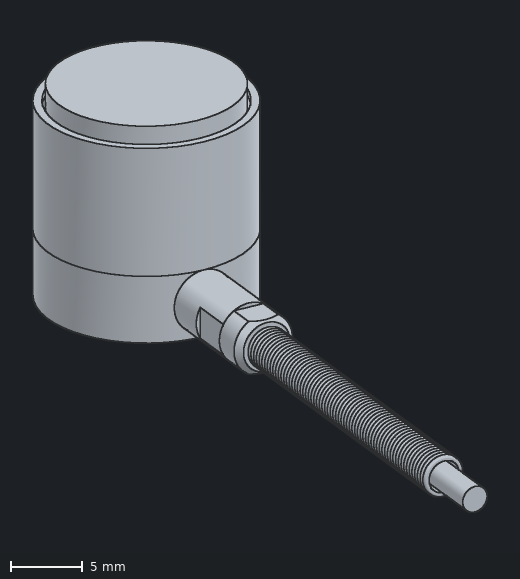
import cadquery as cq

overall_length = 53.65
housing_radius = 15.9 / 2
base_height = 5.15
shoulder_z = 15.0
button_radius = 14.1 / 2
button_edge_height = 1.3
button_edge_z = shoulder_z + button_edge_height
apex_z = 16.55
groove_radius = 14.6 / 2
groove_depth = 0.55

outlet_radius = 4.7 / 2
across_flats = 4.1
fitting_length = 6.3
fitting_flat_length = 3.2
nut_length = 2.5
nut_chamfer = 0.5

outlet_z = base_height - outlet_radius
fitting_start_x = housing_radius
nut_start_x = fitting_start_x + fitting_length
fitting_flat_start_x = nut_start_x - fitting_flat_length
nut_end_x = nut_start_x + nut_length

cable_radius = 2.0 / 2
cable_socket_depth = 1.6
cable_start_x = housing_radius - cable_socket_depth
cable_end_x = overall_length - housing_radius

sleeve_length = 24.7
sleeve_bore_radius = 2.4 / 2
ring_root_radius = 2.8 / 2
ring_count = 65
sleeve_end_x = nut_end_x + sleeve_length
ring_pitch = sleeve_length / ring_count
ring_round_radius = ring_pitch / 2


def rod(start_x, end_x, radius):
    """Solid cylinder on the outlet axis."""
    return (
        cq.Workplane("YZ", origin=(start_x, 0, outlet_z))
        .circle(radius)
        .extrude(end_x - start_x)
    )


def flats_envelope(start_x, end_x, size_y, size_z):
    """Block centred on the outlet axis; intersecting with it leaves wrench flats."""
    return cq.Workplane("XY").box(end_x - start_x, size_y, size_z).translate(
        ((start_x + end_x) / 2, 0, outlet_z)
    )


def make_base():
    """Plain disc with a side socket for the cable."""
    base = cq.Workplane("XY").circle(housing_radius).extrude(base_height)
    return base.cut(rod(cable_start_x, housing_radius, cable_radius))


def make_sensor_body():
    """Upper housing with a slightly conical button set off by an annular groove."""
    groove_floor_z = shoulder_z - groove_depth
    return (
        cq.Workplane("XZ")
        .moveTo(0, base_height)
        .lineTo(housing_radius, base_height)
        .lineTo(housing_radius, shoulder_z)
        .lineTo(groove_radius, shoulder_z)
        .lineTo(groove_radius, groove_floor_z)
        .lineTo(button_radius, groove_floor_z)
        .lineTo(button_radius, button_edge_z)
        .lineTo(0, apex_z)
        .close()
        .revolve(360, (0, 0, 0), (0, 1, 0))
    )


def make_fitting():
    """Round fitting with two side flats at its outer end."""
    round_part = rod(fitting_start_x, fitting_flat_start_x, outlet_radius)
    flat_part = rod(fitting_flat_start_x, nut_start_x, outlet_radius).intersect(
        flats_envelope(fitting_flat_start_x, nut_start_x, across_flats, 2 * outlet_radius)
    )
    return round_part.union(flat_part).cut(rod(fitting_start_x, nut_start_x, cable_radius))


def make_nut():
    """Chamfered round nut with flats above and below."""
    blank = rod(nut_start_x, nut_end_x, outlet_radius).faces(">X").chamfer(nut_chamfer)
    flats = flats_envelope(nut_start_x, nut_end_x, 2 * outlet_radius, across_flats)
    return blank.intersect(flats).cut(rod(nut_start_x, nut_end_x, cable_radius))


def make_sleeve():
    """Tube whose outside is a row of half-round rings."""
    outline = (
        cq.Workplane("XZ", origin=(0, 0, outlet_z))
        .moveTo(nut_end_x, sleeve_bore_radius)
        .lineTo(nut_end_x, ring_root_radius)
    )
    for ring in range(ring_count):
        ring_start_x = nut_end_x + ring * ring_pitch
        outline = outline.threePointArc(
            (ring_start_x + ring_round_radius, ring_root_radius + ring_round_radius),
            (ring_start_x + ring_pitch, ring_root_radius),
        )
    return (
        outline.lineTo(sleeve_end_x, sleeve_bore_radius)
        .close()
        .revolve(360, (0, 0, 0), (1, 0, 0))
    )


base = make_base()
sensor_body = make_sensor_body()
fitting = make_fitting()
nut = make_nut()
sleeve = make_sleeve()
cable = rod(cable_start_x, cable_end_x, cable_radius)

result = cq.Compound.makeCompound(
    [base.val(), sensor_body.val(), fitting.val(), nut.val(), sleeve.val(), cable.val()]
)